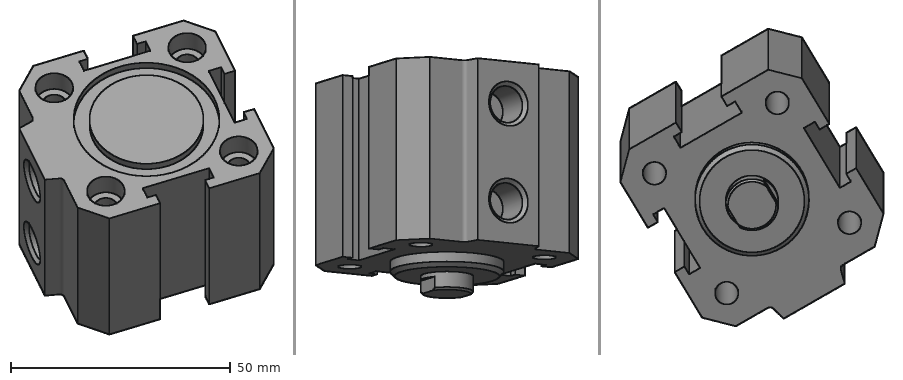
import cadquery as cq
import math

width = 48.0
half_width = width / 2
height = 42.1
overall_height = 49.5
corner_chamfer = 5.6

total_depth = 52.0
pad_front_y = half_width - total_depth
pad_front_width = 16.1
pad_flank_angle = 15.0
pad_root_radius = 1.05

slot_mouth = 12.0
slot_width = 16.2
slot_lip = 2.6
side_slot_depth = 5.5
rear_slot_depth = 5.6

hole_pitch = 32.5
hole_diameter = 5.3
counterbore_diameter = 8.6
counterbore_depth = 5.7

recess_diameter = 33.3
island_diameter = 26.0
recess_depth = 2.0

port_diameter = 8.5
port_mouth_diameter = 10.3
port_depth = 9.9
port_end_distance = 9.85

boss_diameter = 26.0
boss_height = 3.3
boss_chamfer = 1.05

rod_diameter = 12.0
rod_end_z = height - overall_height
rod_tip_chamfer = 0.5
rod_flats_width = 10.1
rod_collar_height = 1.05


def make_profile():
    """Chamfered square body with the tapered port pad on its -Y face."""
    block = (
        cq.Workplane("XY")
        .rect(width, width)
        .extrude(height)
        .edges("|Z")
        .chamfer(corner_chamfer)
    )
    pad_rise = -half_width - pad_front_y
    front_x = pad_front_width / 2
    root_x = front_x + pad_rise * math.tan(math.radians(pad_flank_angle))
    pad = (
        cq.Workplane("XY")
        .polyline([
            (-front_x, pad_front_y),
            (front_x, pad_front_y),
            (root_x, -half_width),
            (root_x, 0),
            (-root_x, 0),
            (-root_x, -half_width),
        ])
        .close()
        .extrude(height)
    )
    margin = pad_root_radius / 2
    root_corners = cq.selectors.BoxSelector(
        (-root_x - margin, -half_width - margin, -margin),
        (root_x + margin, -half_width + margin, height + margin),
    )
    return block.union(pad).edges("|Z").edges(root_corners).fillet(pad_root_radius)


def make_slot(depth, angle):
    """T-slot cutter for the +Y face, turned about Z by the given angle."""
    mouth = cq.Workplane("XY").box(slot_mouth, depth, height, centered=(True, False, False))
    mouth = mouth.translate((0, half_width - depth, 0))
    groove = cq.Workplane("XY").box(
        slot_width, depth - slot_lip, height, centered=(True, False, False)
    )
    groove = groove.translate((0, half_width - depth, 0))
    return mouth.union(groove).rotate((0, 0, 0), (0, 0, 1), angle)


def make_port(z):
    """Blind port cutter with a 45 degree countersunk mouth."""
    port_radius = port_diameter / 2
    mouth_radius = port_mouth_diameter / 2
    mouth_depth = mouth_radius - port_radius
    return (
        cq.Workplane("XY")
        .polyline([
            (0, pad_front_y),
            (mouth_radius, pad_front_y),
            (port_radius, pad_front_y + mouth_depth),
            (port_radius, pad_front_y + port_depth),
            (0, pad_front_y + port_depth),
        ])
        .close()
        .revolve(360, (0, 0, 0), (0, 1, 0))
        .translate((0, 0, z))
    )


def make_boss():
    """Round boss under the housing with a chamfered lower rim."""
    return (
        cq.Workplane("XY")
        .circle(boss_diameter / 2)
        .extrude(-boss_height)
        .faces("<Z")
        .chamfer(boss_chamfer)
    )


def make_housing():
    housing = make_profile()
    for depth, angle in ((rear_slot_depth, 0), (side_slot_depth, 90), (side_slot_depth, -90)):
        housing = housing.cut(make_slot(depth, angle))

    housing = (
        housing.faces(">Z")
        .workplane(origin=(0, 0, height))
        .rect(hole_pitch, hole_pitch, forConstruction=True)
        .vertices()
        .cboreHole(hole_diameter, counterbore_diameter, counterbore_depth)
    )

    recess = (
        cq.Workplane("XY", origin=(0, 0, height))
        .circle(recess_diameter / 2)
        .circle(island_diameter / 2)
        .extrude(-recess_depth)
    )
    housing = housing.cut(recess)

    for z in (port_end_distance, height - port_end_distance):
        housing = housing.cut(make_port(z))

    socket = cq.Workplane("XY").circle(rod_diameter / 2).extrude(-boss_height)
    return housing.union(make_boss()).cut(socket)


def make_rod():
    """Rod with a chamfered tip and two flats facing +X and -X."""
    rod = (
        cq.Workplane("XY")
        .circle(rod_diameter / 2)
        .extrude(rod_end_z)
        .faces("<Z")
        .chamfer(rod_tip_chamfer)
    )
    flats_height = -rod_end_z - boss_height - rod_collar_height
    flats = (
        cq.Workplane("XY", origin=(0, 0, rod_end_z))
        .rect(2 * rod_diameter, 2 * rod_diameter)
        .rect(rod_flats_width, 2 * rod_diameter)
        .extrude(flats_height)
    )
    return rod.cut(flats)


housing = make_housing()
rod = make_rod()
result = cq.Compound.makeCompound([housing.val(), rod.val()])